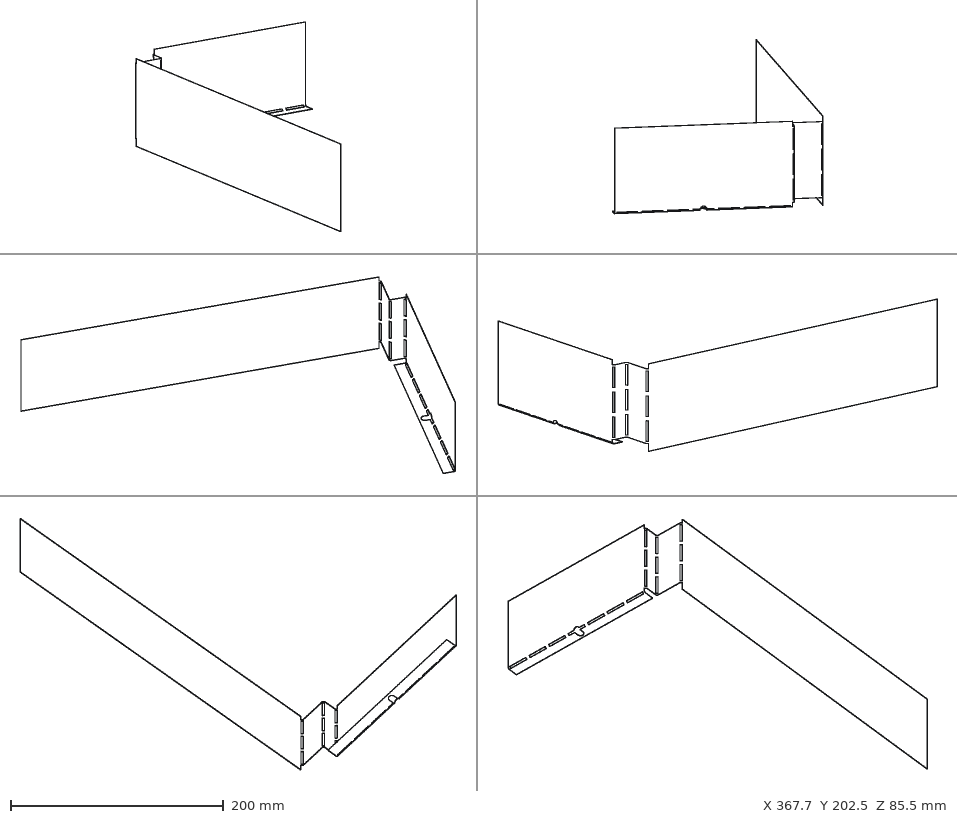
import cadquery as cq
import math

LENGTH_X = 367.7
LENGTH_Y = 202.5
SHEET = 0.5
INNER_RADIUS = 1.55
OUTER_RADIUS = INNER_RADIUS + SHEET

FACE_HEIGHT = 85.5

STEP_OFFSET = 15.8
STEP_TOP_MARGIN = 4.8
STEP_BOTTOM_MARGIN = 7.7
step_bottom = STEP_BOTTOM_MARGIN
step_top = FACE_HEIGHT - STEP_TOP_MARGIN
step_height = step_top - step_bottom

SIDE_LENGTH = 170.2
SIDE_BOTTOM_MARGIN = 4.8
FLANGE_WIDTH = 12.0
side_front = LENGTH_Y - SIDE_LENGTH
side_bottom = step_bottom - SIDE_BOTTOM_MARGIN
flange_bend_top = side_bottom + OUTER_RADIUS
cross_front = side_front - OUTER_RADIUS

BRIDGE = 4.5
SLOT_MARGIN = 10
QUARTER_TURN = 90
STEP_SLOTS = 3
FLANGE_SLOTS = 7

NOTCH_WIDTH = 6.5
NOTCH_REACH = 9.5
NOTCH_RISE = 4.5
notch_y = side_front + SIDE_LENGTH / 2


def box(x0, x1, y0, y1, z0, z1):
    """Box between two opposite corners."""
    return cq.Workplane("XY").box(x1 - x0, y1 - y0, z1 - z0, centered=False).translate((x0, y0, z0))


def bend(plane, center, toward, span, margin=0):
    """Quarter-round strip about `center`, on the side given by the signs in `toward`.

    `margin` is the angle left off at both ends of the quarter turn.
    """

    def on_arc(radius, degrees):
        angle = math.radians(degrees)
        return (
            center[0] + toward[0] * radius * math.cos(angle),
            center[1] + toward[1] * radius * math.sin(angle),
        )

    first = margin
    last = QUARTER_TURN - margin
    middle = QUARTER_TURN / 2
    return (
        cq.Workplane(plane)
        .moveTo(*on_arc(INNER_RADIUS, first))
        .lineTo(*on_arc(OUTER_RADIUS, first))
        .threePointArc(on_arc(OUTER_RADIUS, middle), on_arc(OUTER_RADIUS, last))
        .lineTo(*on_arc(INNER_RADIUS, last))
        .threePointArc(on_arc(INNER_RADIUS, middle), on_arc(INNER_RADIUS, first))
        .close()
        .extrude(span)
    )


def perforated_bend(plane, center, toward, length, slots):
    """Bend with a row of slots: a full bridge between slots and half a bridge at each end."""
    pitch = length / slots
    strip = bend(plane, center, toward, length)
    slot = bend(plane, center, toward, pitch - BRIDGE, SLOT_MARGIN)
    along = strip.plane.zDir
    for index in range(slots):
        strip = strip.cut(slot.translate(along * (index * pitch + BRIDGE / 2)))
    return strip


def upright_bend(center, toward):
    """Perforated vertical bend over the height of the step."""
    strip = perforated_bend("XY", center, toward, step_height, STEP_SLOTS)
    return strip.translate((0, 0, step_bottom))


def flange_bend():
    """Perforated bend along the lower edge of the side panel."""
    center = (OUTER_RADIUS, flange_bend_top)
    strip = perforated_bend("XZ", center, (-1, -1), SIDE_LENGTH, FLANGE_SLOTS)
    return strip.translate((0, LENGTH_Y, 0))


def notch_tool():
    """Cutter through the flange and its bend, and on up the side panel, with a round end on each."""
    radius = NOTCH_WIDTH / 2
    depth = OUTER_RADIUS
    near, far = notch_y - radius, notch_y + radius
    end_x = NOTCH_REACH - radius
    end_z = side_bottom + NOTCH_RISE - radius
    flange_cut = box(0, end_x, near, far, side_bottom, side_bottom + depth)
    flange_end = (
        cq.Workplane("XY", origin=(0, 0, side_bottom)).center(end_x, notch_y).circle(radius).extrude(depth)
    )
    panel_cut = box(0, depth, near, far, side_bottom, end_z)
    panel_end = cq.Workplane("YZ").center(notch_y, end_z).circle(radius).extrude(depth)
    return flange_cut.union(flange_end).union(panel_cut).union(panel_end)


face = box(STEP_OFFSET + OUTER_RADIUS, LENGTH_X, 0, SHEET, 0, FACE_HEIGHT)
step_return = box(
    STEP_OFFSET, STEP_OFFSET + SHEET, OUTER_RADIUS, cross_front - INNER_RADIUS, step_bottom, step_top
)
step_cross = box(
    OUTER_RADIUS, STEP_OFFSET - INNER_RADIUS, cross_front, cross_front + SHEET, step_bottom, step_top
)
side = box(0, SHEET, side_front, LENGTH_Y, flange_bend_top, FACE_HEIGHT)
flange = box(OUTER_RADIUS, FLANGE_WIDTH, side_front, LENGTH_Y, side_bottom, side_bottom + SHEET)

face_bend = upright_bend((STEP_OFFSET + OUTER_RADIUS, OUTER_RADIUS), (-1, -1))
step_bend = upright_bend((STEP_OFFSET - INNER_RADIUS, cross_front - INNER_RADIUS), (1, 1))
side_bend = upright_bend((OUTER_RADIUS, side_front), (-1, -1))

result = face
for piece in (face_bend, step_return, step_bend, step_cross, side_bend, side, flange_bend(), flange):
    result = result.union(piece)
result = result.cut(notch_tool())